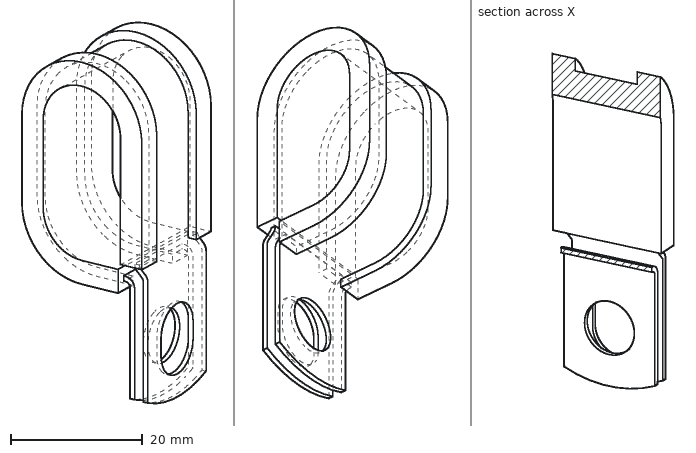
import cadquery as cq
import math


loop_radius = 10.95
loop_straight = 14.35
cushion_thickness = 3.9
cushion_width = 18.92
groove_width = 10.8
groove_depth = 1.5
upper_end_z = -20.5
lower_end_x = 6.6

strap_thickness = 0.85
strap_width = 15.9
bend_radius = 0.8
jog_angle = math.radians(45)
outer_leg_face_x = 11.06
leg_gap = 1.6

overall_height = 55.35
tip_radius = 20.0
hole_diameter = 8.7
hole_above_tip = 9.55
slot_length = 11.5

lower_centre_z = -loop_straight
tip_z = loop_radius - overall_height
hole_z = tip_z + hole_above_tip
bend_mid_radius = bend_radius + strap_thickness / 2
strap_mid_radius = loop_radius - groove_depth - strap_thickness / 2
outer_leg_x = outer_leg_face_x - strap_thickness / 2
inner_leg_x = outer_leg_x - strap_thickness - leg_gap


def loop_band(outer_radius, inner_radius, width):
    """Open loop band between two radii, centred across the width."""
    diagonal = math.sqrt(0.5)
    lower_corner_out = (-outer_radius * diagonal, lower_centre_z - outer_radius * diagonal)
    lower_corner_in = (-inner_radius * diagonal, lower_centre_z - inner_radius * diagonal)
    return (
        cq.Workplane("XZ", origin=(0, width / 2, 0))
        .moveTo(outer_radius, upper_end_z)
        .lineTo(outer_radius, 0)
        .threePointArc((0, outer_radius), (-outer_radius, 0))
        .lineTo(-outer_radius, lower_centre_z)
        .threePointArc(lower_corner_out, (0, lower_centre_z - outer_radius))
        .lineTo(lower_end_x, lower_centre_z - outer_radius)
        .lineTo(lower_end_x, lower_centre_z - inner_radius)
        .lineTo(0, lower_centre_z - inner_radius)
        .threePointArc(lower_corner_in, (-inner_radius, lower_centre_z))
        .lineTo(-inner_radius, 0)
        .threePointArc((0, inner_radius), (inner_radius, 0))
        .lineTo(inner_radius, upper_end_z)
        .close()
        .extrude(width)
    )


def make_cushion():
    """Full-width cushion with the outer groove removed."""
    inner_radius = loop_radius - cushion_thickness
    cushion = loop_band(loop_radius, inner_radius, cushion_width)
    groove = loop_band(loop_radius, loop_radius - groove_depth, groove_width)
    return cushion.cut(groove)


def make_outer_leg():
    """Leg leaving the upper cushion end, jogged outwards by two bends."""
    start_x = strap_mid_radius
    bend_shift = bend_mid_radius * (1 - math.cos(jog_angle))
    bend_drop = bend_mid_radius * math.sin(jog_angle)
    slope_shift = outer_leg_x - start_x - 2 * bend_shift
    slope_drop = slope_shift / math.tan(jog_angle)
    slope_start = (start_x + bend_shift, upper_end_z - bend_drop)
    slope_end = (slope_start[0] + slope_shift, slope_start[1] - slope_drop)
    path = (
        cq.Workplane("XZ")
        .moveTo(start_x, upper_end_z)
        .radiusArc(slope_start, -bend_mid_radius)
        .lineTo(*slope_end)
        .radiusArc((outer_leg_x, slope_end[1] - bend_drop), bend_mid_radius)
        .lineTo(outer_leg_x, tip_z)
    )
    section = cq.Workplane("XY", origin=(start_x, 0, upper_end_z)).rect(strap_thickness, strap_width)
    return section.sweep(path)


def make_inner_leg():
    """Leg leaving the lower cushion end, bent straight down."""
    start_z = lower_centre_z - strap_mid_radius
    path = (
        cq.Workplane("XZ")
        .moveTo(lower_end_x, start_z)
        .lineTo(inner_leg_x - bend_mid_radius, start_z)
        .radiusArc((inner_leg_x, start_z - bend_mid_radius), bend_mid_radius)
        .lineTo(inner_leg_x, tip_z)
    )
    section = cq.Workplane("YZ", origin=(lower_end_x, 0, start_z)).rect(strap_width, strap_thickness)
    return section.sweep(path)


def make_leg_outline():
    """Block with the rounded tip that trims both legs."""
    half_width = strap_width / 2
    tip_rise = tip_radius - math.sqrt(tip_radius**2 - half_width**2)
    return (
        cq.Workplane("YZ")
        .moveTo(-half_width, upper_end_z)
        .lineTo(-half_width, tip_z + tip_rise)
        .threePointArc((0, tip_z), (half_width, tip_z + tip_rise))
        .lineTo(half_width, upper_end_z)
        .close()
        .extrude(2 * loop_radius)
    )


def make_bolt_hole():
    """Round hole cutter for the inner leg."""
    return (
        cq.Workplane("YZ", origin=(inner_leg_x - strap_thickness, 0, hole_z))
        .circle(hole_diameter / 2)
        .extrude(2 * strap_thickness)
    )


def make_bolt_slot():
    """Upright slot cutter for the outer leg, as wide as the round hole."""
    return (
        cq.Workplane("YZ", origin=(outer_leg_x - strap_thickness, 0, hole_z))
        .slot2D(slot_length, hole_diameter, 90)
        .extrude(2 * strap_thickness)
    )


leg_outline = make_leg_outline()
inner_leg = make_inner_leg().intersect(leg_outline).cut(make_bolt_hole())
outer_leg = make_outer_leg().intersect(leg_outline).cut(make_bolt_slot())
result = make_cushion().union(inner_leg).union(outer_leg)